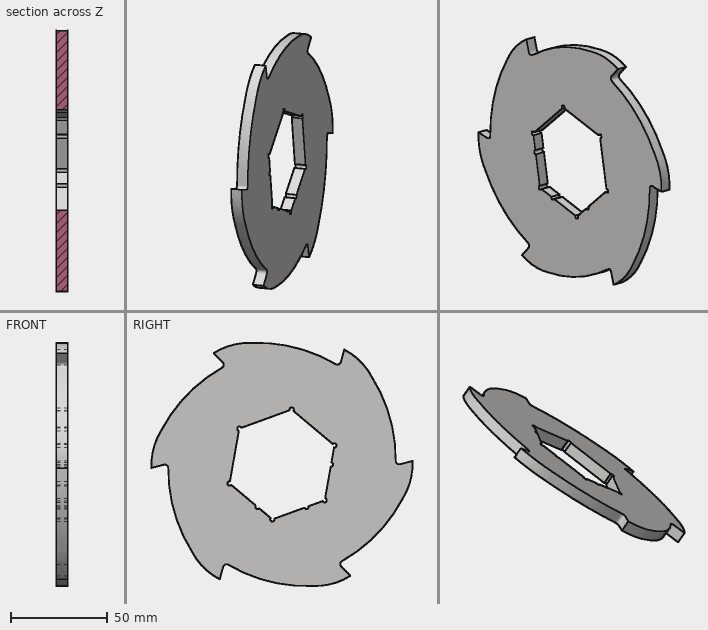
import cadquery as cq
import math

thickness = 6.0
tooth_count = 6
tooth_pitch = 360 / tooth_count

tip_radius = 68.0
tip_angle = 1.6
shoulder_radius = 65.2
shoulder_angle = -15.8
gullet_radius = 59.1
gullet_angle = -0.4
tip_arc_radius = 34.0
back_arc_radius = 80.2
gullet_fillet = 1.8

hex_sides = 6
hex_pitch = 360 / hex_sides
hex_corner_radius = 29.0
hex_angle = 20.0
relief_radius = 1.1
side_relief_offset = 10.0
side_relief_count = 3


def polar(radius, angle):
    """Point in the YZ plane."""
    radians = math.radians(angle)
    return (radius * math.cos(radians), radius * math.sin(radians))


def toothed_disc():
    """Disc outline, running clockwise from the first tip, with rounded gullets."""
    outline = cq.Workplane("YZ").moveTo(*polar(tip_radius, tip_angle))
    for i in range(tooth_count):
        turn = -i * tooth_pitch
        next_turn = turn - tooth_pitch
        outline = outline.radiusArc(polar(shoulder_radius, shoulder_angle + turn), tip_arc_radius)
        outline = outline.radiusArc(polar(gullet_radius, gullet_angle + next_turn), back_arc_radius)
        if i < tooth_count - 1:
            outline = outline.lineTo(*polar(tip_radius, tip_angle + next_turn))
    disc = outline.close().extrude(thickness / 2, both=True)

    for i in range(tooth_count):
        y, z = polar(gullet_radius, gullet_angle + i * tooth_pitch)
        disc = disc.edges(cq.selectors.NearestToPointSelector((0, y, z))).fillet(gullet_fillet)
    return disc


def bore():
    """Hexagonal cutter together with its relief cylinders."""
    corners = [polar(hex_corner_radius, hex_angle - i * hex_pitch) for i in range(hex_sides)]
    reliefs = list(corners)
    side_fraction = side_relief_offset / hex_corner_radius
    for i in range(side_relief_count):
        (y0, z0), (y1, z1) = corners[i], corners[i + 1]
        reliefs.append((y0 + side_fraction * (y1 - y0), z0 + side_fraction * (z1 - z0)))

    hexagon = cq.Workplane("YZ").polyline(corners).close().extrude(thickness, both=True)
    holes = cq.Workplane("YZ").pushPoints(reliefs).circle(relief_radius).extrude(thickness, both=True)
    return hexagon.union(holes)


result = toothed_disc().cut(bore())